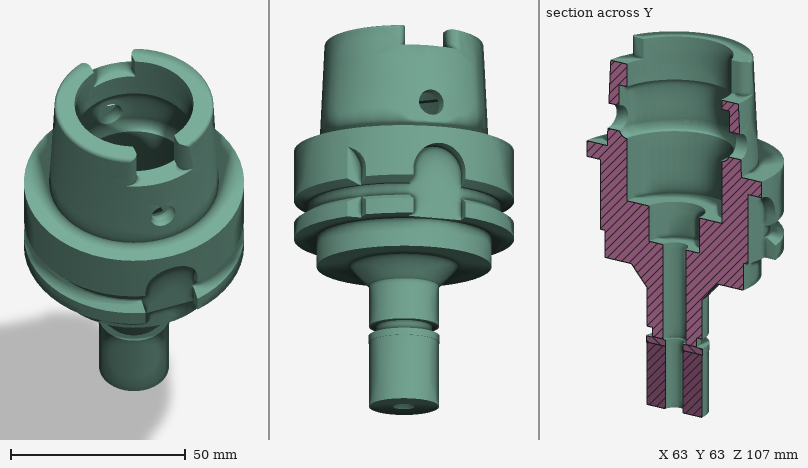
import cadquery as cq
import math

sleeve_top = 18.7
ring_top = 20.8
neck_top = 23.5
stem_top = 35.3
hub_bottom = 41.2
flange_bottom = 49.3
groove_lower_edge = 53.7
groove_floor_bottom = 55.3
groove_floor_top = 59.0
groove_upper_edge = 60.6
flange_top = 75.1
part_top = 107.0

sleeve_diameter = 20.0
sleeve_radius = sleeve_diameter / 2
ring_radius = 10.2
neck_radius = 8.0
stem_radius = sleeve_radius
collar_radius = 15.5
hub_radius = 25.0
flange_diameter = 63.0
flange_radius = flange_diameter / 2
groove_radius = 27.6
groove_lip_radius = 28.8
taper_base_radius = 24.3
taper_slope = 0.05
taper_top_radius = taper_base_radius - taper_slope * (part_top - flange_top)
rim_fillet = 1.1

pocket_radius = 17.0
chamber_top = 94.0
chamber_radius = 19.8
chamber_bottom = 78.5
chamber_fillet = chamber_radius - pocket_radius
pocket_floor = 59.9
tube_seat_radius = 9.0
tube_seat_bottom = flange_bottom
holder_bore_radius = 4.1
tool_bore_radius = 3.1

drive_slot_half_width = 6.3
drive_key_half_length = 20.9
drive_key_round = 2.6
shallow_slot_floor = 101.0
deep_slot_floor = 96.9

access_hole_radius = 3.7
access_hole_height = 84.1

gripper_slot_radius = 7.9
gripper_slot_top = 70.3
gripper_slot_depth_from_axis = 26.6

notch_corner = 20.1
notch_round = 7.5
notch_top = 70.6


def cylinder(radius, bottom, top):
    """A cylinder on the Z axis between two heights."""
    return cq.Workplane("XY").workplane(offset=bottom).circle(radius).extrude(top - bottom)


def holder_blank():
    """The turned outside of the holder, solid through its middle."""
    outline = [
        (0, ring_top),
        (neck_radius, ring_top),
        (neck_radius, neck_top),
        (stem_radius, neck_top),
        (stem_radius, stem_top),
        (collar_radius, hub_bottom),
        (hub_radius, hub_bottom),
        (hub_radius, flange_bottom),
        (flange_radius, flange_bottom),
        (flange_radius, groove_lower_edge),
        (groove_lip_radius, groove_floor_bottom),
        (groove_radius, groove_floor_bottom),
        (groove_radius, groove_floor_top),
        (groove_lip_radius, groove_floor_top),
        (flange_radius, groove_upper_edge),
        (flange_radius, flange_top),
        (taper_base_radius, flange_top),
        (taper_top_radius, part_top),
        (0, part_top),
    ]
    blank = cq.Workplane("XZ").polyline(outline).close().revolve(360, (0, 0, 0), (0, 1, 0))
    return blank.faces(">Z").edges().fillet(rim_fillet)


def holder_cavity():
    """The stepped hole down the axis, with a wider chamber partway down its pocket."""
    pocket = cylinder(pocket_radius, pocket_floor, part_top)
    chamber = cylinder(chamber_radius, chamber_bottom, chamber_top)
    chamber = chamber.faces("<Z").edges().fillet(chamber_fillet)
    tube_seat = cylinder(tube_seat_radius, tube_seat_bottom, pocket_floor)
    bore = cylinder(holder_bore_radius, ring_top, tube_seat_bottom)
    return pocket.union(chamber).union(tube_seat).union(bore)


def drive_slot(side, floor):
    """A slot through the rim; the keys beside it end flat, with rounded corners."""
    round_start = drive_key_half_length - drive_key_round
    round_end = drive_slot_half_width + drive_key_round
    round_offset = drive_key_round * math.sqrt(0.5)
    round_middle = (round_start + round_offset, round_end - round_offset)
    return (
        cq.Workplane("XY")
        .workplane(offset=floor)
        .moveTo(0, -drive_slot_half_width)
        .lineTo(side * round_start, -drive_slot_half_width)
        .threePointArc(
            (side * round_middle[0], -round_middle[1]),
            (side * drive_key_half_length, -round_end),
        )
        .lineTo(side * drive_key_half_length, -taper_base_radius)
        .lineTo(side * taper_base_radius, -taper_base_radius)
        .lineTo(side * taper_base_radius, taper_base_radius)
        .lineTo(side * drive_key_half_length, taper_base_radius)
        .lineTo(side * drive_key_half_length, round_end)
        .threePointArc(
            (side * round_middle[0], round_middle[1]),
            (side * round_start, drive_slot_half_width),
        )
        .lineTo(0, drive_slot_half_width)
        .close()
        .extrude(part_top - floor)
    )


def access_hole():
    """A round hole along X through both walls of the taper."""
    return (
        cq.Workplane("YZ")
        .center(0, access_hole_height)
        .circle(access_hole_radius)
        .extrude(taper_base_radius, both=True)
    )


def round_topped_cutter(side, start, center_y, radius, top):
    """A round-topped slot shape, from x = side * start outwards, open at the flange bottom."""
    arch_height = top - radius
    return (
        cq.Workplane("YZ")
        .workplane(offset=side * start)
        .moveTo(center_y - radius, flange_bottom)
        .lineTo(center_y - radius, arch_height)
        .threePointArc((center_y, top), (center_y + radius, arch_height))
        .lineTo(center_y + radius, flange_bottom)
        .close()
        .extrude(side * (flange_radius - start))
    )


def make_holder():
    holder = holder_blank().cut(holder_cavity()).cut(access_hole())
    for side, floor in ((-1, shallow_slot_floor), (1, deep_slot_floor)):
        holder = holder.cut(drive_slot(side, floor))
        holder = holder.cut(
            round_topped_cutter(
                side, gripper_slot_depth_from_axis, 0, gripper_slot_radius, gripper_slot_top
            )
        )
    notch = round_topped_cutter(-1, notch_corner, notch_corner + notch_round, notch_round, notch_top)
    return holder.cut(notch)


def make_ring():
    """The thin ring between the holder's neck and the sleeve."""
    return cylinder(ring_radius, sleeve_top, ring_top).cut(
        cylinder(tool_bore_radius, sleeve_top, ring_top)
    )


def make_sleeve():
    """The plain bored cylinder at the lower end."""
    return cylinder(sleeve_radius, 0, sleeve_top).cut(cylinder(tool_bore_radius, 0, sleeve_top))


holder = make_holder()
ring = make_ring()
sleeve = make_sleeve()

result = cq.Compound.makeCompound([holder.val(), ring.val(), sleeve.val()])